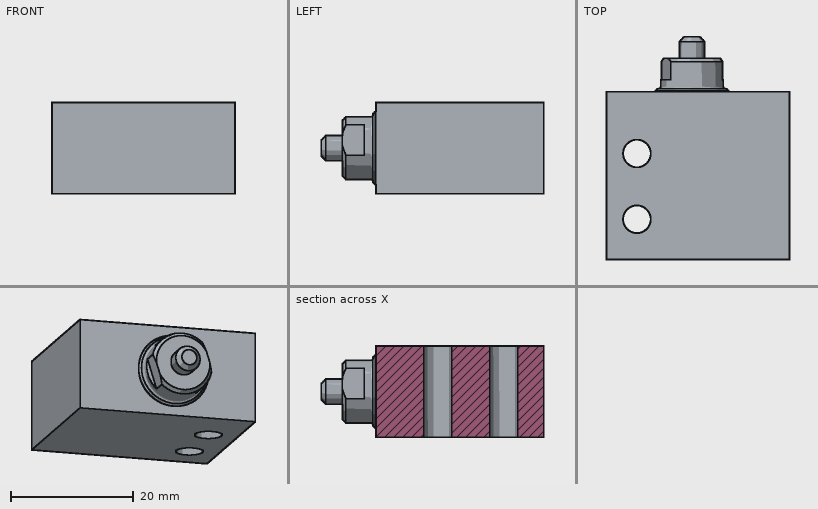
import cadquery as cq

body_width = 30.0
body_depth = 27.52
body_height = 15.0

hole_diameter = 4.5
hole_x = -10.0
first_hole_y = 6.6
hole_spacing = 10.75

axis_x = -1.0
overall_length = 36.5
collar_radius = 5.15
collar_length = 5.48
collar_chamfer = 0.6
flange_radius = 6.0
flange_rim = 0.1
flange_chamfer = 0.35
root_fillet = 0.33
plunger_radius = 2.08
tip_chamfer = 0.8

flat_distance = 4.45
flat_start = 1.9
flat_tilt = 17.5

collar_end = body_depth + collar_length


def make_body():
    block = cq.Workplane("XY").box(
        body_width, body_depth, body_height, centered=(True, False, True)
    )
    holes = (
        cq.Workplane("XY", origin=(0, 0, -body_height / 2))
        .pushPoints([(hole_x, first_hole_y + i * hole_spacing) for i in range(2)])
        .circle(hole_diameter / 2)
        .extrude(body_height)
    )
    return block.cut(holes)


def make_collar():
    """Chamfered collar with a thin bevelled flange and a concave fillet at its root."""
    flange_height = flange_rim + flange_chamfer
    return (
        cq.Workplane("XY", origin=(axis_x, body_depth, 0))
        .lineTo(flange_radius, 0)
        .lineTo(flange_radius, flange_rim)
        .lineTo(flange_radius - flange_chamfer, flange_height)
        .lineTo(collar_radius + root_fillet, flange_height)
        .radiusArc((collar_radius, flange_height + root_fillet), root_fillet)
        .lineTo(collar_radius, collar_length - collar_chamfer)
        .lineTo(collar_radius - collar_chamfer, collar_length)
        .lineTo(0, collar_length)
        .close()
        .revolve(360, (0, 0, 0), (0, 1, 0))
    )


def cut_flats(collar):
    flat_length = collar_length - flat_start
    for side in (-1, 1):
        cutter = (
            cq.Workplane("XY")
            .box(collar_radius, flat_length, 2 * collar_radius, centered=(True, False, True))
            .translate((side * (flat_distance + collar_radius / 2), 0, 0))
            .rotate((0, 0, 0), (0, 1, 0), flat_tilt)
            .translate((axis_x, body_depth + flat_start, 0))
        )
        collar = collar.cut(cutter)
    return collar


def make_plunger():
    return (
        cq.Workplane("XZ", origin=(axis_x, collar_end, 0))
        .circle(plunger_radius)
        .extrude(-(overall_length - collar_end))
        .faces(">Y")
        .edges()
        .chamfer(tip_chamfer)
    )


result = make_body().union(cut_flats(make_collar())).union(make_plunger())